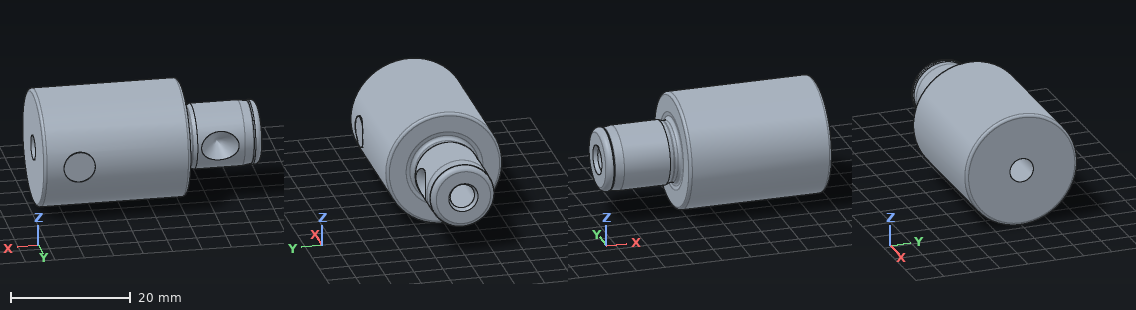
import cadquery as cq

length = 38.0
body_radius = 10.0
body_edge_radius = 0.5
shoulder_x = 13.0

spigot_radius = 5.55
nose_face_radius = 4.67
nose_radius = 5.47
nose_length = 1.18
nose_bulge_x = 0.3
nose_bulge_radius = 5.25

relief_radius = 5.32
relief_start_x = 1.4
relief_end_x = 1.52
spigot_start_x = 3.0

spigot_end_x = 11.05
undercut_radius = 5.25
undercut_taper_end_x = 11.78
undercut_taper_end_radius = 5.3
undercut_start_x = 11.95
undercut_arc_x = 12.5
undercut_arc_end_radius = 5.93
undercut_face_depth = 0.1
undercut_rim_radius = 6.6
undercut_bulge_x = 12.92
undercut_bulge_radius = 5.4

bore_radius = 2.1
bore_mouth_radius = 2.5
bore_chamfer_length = 0.72

dimple_x = 7.22
dimple_radius = 3.2
dimple_depth = dimple_radius

screw_x = 31.95
screw_radius = 2.65
screw_length = 5.0
screw_outer_y = 9.88
screw_inner_y = screw_outer_y - screw_length


def radial_cylinder(inner_y, outer_y):
    """Cylinder of the screw's diameter along +Y at the screw position."""
    return cq.Workplane("XY").add(
        cq.Solid.makeCylinder(
            screw_radius, outer_y - inner_y, cq.Vector(screw_x, inner_y, 0), cq.Vector(0, 1, 0)
        )
    )


def turned_blank():
    """Solid of revolution with the rounded nose, undercut and rounded body."""
    profile = (
        cq.Workplane("XY")
        .lineTo(0, nose_face_radius)
        .threePointArc((nose_bulge_x, nose_bulge_radius), (nose_length, nose_radius))
        .lineTo(relief_start_x, relief_radius)
        .lineTo(relief_end_x, relief_radius)
        .lineTo(spigot_start_x, spigot_radius)
        .lineTo(spigot_end_x, spigot_radius)
        .lineTo(undercut_taper_end_x, undercut_taper_end_radius)
        .lineTo(undercut_start_x, undercut_radius)
        .lineTo(undercut_arc_x, undercut_radius)
        .threePointArc(
            (undercut_bulge_x, undercut_bulge_radius),
            (shoulder_x + undercut_face_depth, undercut_arc_end_radius),
        )
        .lineTo(shoulder_x, undercut_rim_radius)
        .lineTo(shoulder_x, body_radius - body_edge_radius)
        .radiusArc((shoulder_x + body_edge_radius, body_radius), body_edge_radius)
        .lineTo(length - body_edge_radius, body_radius)
        .radiusArc((length, body_radius - body_edge_radius), body_edge_radius)
        .lineTo(length, 0)
        .close()
    )
    return profile.revolve(360, (0, 0, 0), (1, 0, 0))


def bore():
    """Through bore with a chamfered mouth at the nose."""
    profile = (
        cq.Workplane("XY")
        .lineTo(0, bore_mouth_radius)
        .lineTo(bore_chamfer_length, bore_radius)
        .lineTo(length, bore_radius)
        .lineTo(length, 0)
        .close()
    )
    return profile.revolve(360, (0, 0, 0), (1, 0, 0))


def dimple():
    """Cone pointing at the axis, widest at the spigot surface."""
    return cq.Workplane("XY").add(
        cq.Solid.makeCone(
            dimple_radius, 0, dimple_depth, cq.Vector(dimple_x, spigot_radius, 0), cq.Vector(0, -1, 0)
        )
    )


def make_holder():
    screw_hole = radial_cylinder(screw_inner_y, body_radius)
    return turned_blank().cut(bore()).cut(dimple()).cut(screw_hole)


def make_set_screw():
    return radial_cylinder(screw_inner_y, screw_outer_y)


holder = make_holder()
set_screw = make_set_screw()

result = cq.Compound.makeCompound([holder.solids().val(), set_screw.solids().val()])